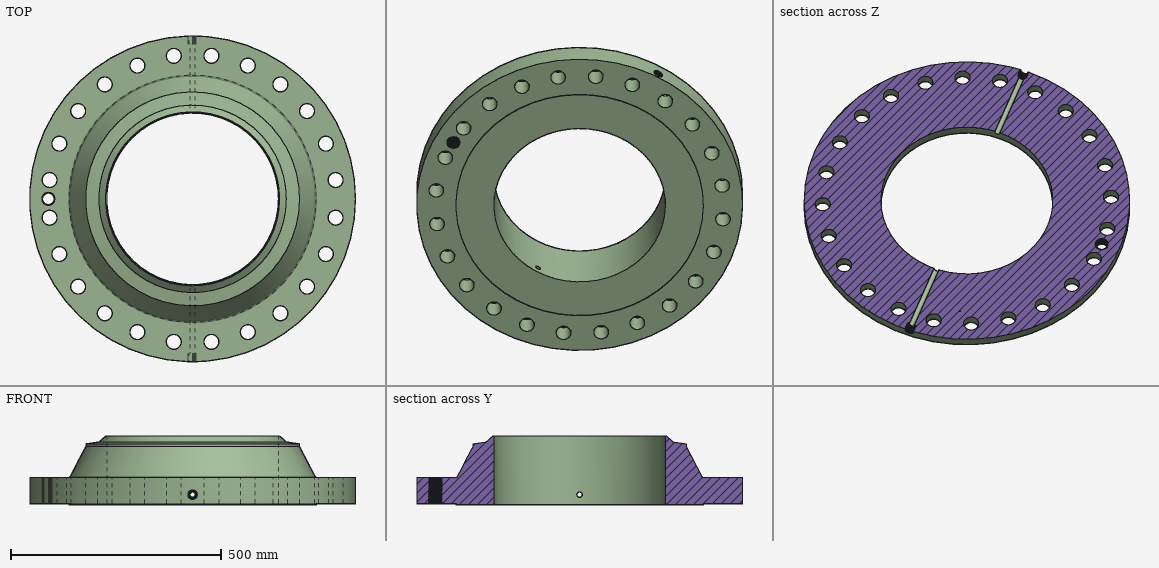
import cadquery as cq
import math

flange_diameter = 775.0
flange_top = 65.0
raised_face_diameter = 588.0
raised_face_height = 2.0

total_height = 163.5
hub_base_diameter = 585.0
hub_base_fillet = 3.0
rim_diameter = 508.0
rim_bottom = 139.0
rim_top = 145.0
bevel_bottom_diameter = 445.5
bevel_bottom = 149.5
bevel_top_diameter = 414.0
bore_diameter = 407.5

bolt_count = 24
bolt_circle_diameter = 685.5
bolt_hole_diameter = 35.0

jack_minor_diameter = 27.0
jack_major_diameter = 31.0
jack_pitch = 3.5

port_height = 24.0
port_bore_diameter = 12.5
port_minor_diameter = 18.0
port_major_diameter = 22.5
port_pitch = 1.9
port_thread_count = 10


def make_body():
    """Revolve the half section of flange, hub and bore about Z.

    The hub foot is a fillet tangent to the flange face and to the hub cone.
    """
    hub_base_radius = hub_base_diameter / 2
    cone_run = hub_base_radius - rim_diameter / 2
    cone_angle = math.atan2(rim_bottom - flange_top, cone_run)
    tangent_length = hub_base_fillet * math.tan(cone_angle / 2)
    fillet_center_radius = hub_base_radius + tangent_length
    fillet_center_height = flange_top + hub_base_fillet

    def fillet_point(angle):
        """Point of the fillet arc, turned by angle from its lowest point toward the hub."""
        return (
            fillet_center_radius - hub_base_fillet * math.sin(angle),
            fillet_center_height - hub_base_fillet * math.cos(angle),
        )

    return (
        cq.Workplane("XZ")
        .moveTo(bore_diameter / 2, 0)
        .lineTo(raised_face_diameter / 2, 0)
        .lineTo(raised_face_diameter / 2, raised_face_height)
        .lineTo(flange_diameter / 2, raised_face_height)
        .lineTo(flange_diameter / 2, flange_top)
        .lineTo(*fillet_point(0))
        .threePointArc(fillet_point(cone_angle / 2), fillet_point(cone_angle))
        .lineTo(rim_diameter / 2, rim_bottom)
        .lineTo(rim_diameter / 2, rim_top)
        .lineTo(bevel_bottom_diameter / 2, bevel_bottom)
        .lineTo(bevel_top_diameter / 2, total_height)
        .lineTo(bore_diameter / 2, total_height)
        .close()
        .revolve(360, (0, 0, 0), (0, 1, 0))
    )


def make_bolt_holes():
    """Ring of plain through holes, the first one half a pitch from +X."""
    half_pitch = 360 / bolt_count / 2
    return (
        cq.Workplane("XY")
        .polarArray(bolt_circle_diameter / 2, half_pitch, 360, bolt_count)
        .circle(bolt_hole_diameter / 2)
        .extrude(flange_top)
    )


def make_thread_cutter(minor_diameter, major_diameter, pitch, thread_count):
    """Solid along +Z from the origin whose V-shaped rings stand for a thread; each end is at full width."""
    minor_radius = minor_diameter / 2
    major_radius = major_diameter / 2
    outline = cq.Workplane("XZ").lineTo(major_radius, 0)
    for thread in range(thread_count):
        start = thread * pitch
        outline = outline.lineTo(minor_radius, start + pitch / 2).lineTo(major_radius, start + pitch)
    return outline.lineTo(0, thread_count * pitch).close().revolve(360, (0, 0, 0), (0, 1, 0))


def make_jack_hole():
    """Threaded hole through the flange plate, with a whole number of threads."""
    depth = flange_top - raised_face_height
    thread_count = round(depth / jack_pitch)
    return make_thread_cutter(
        jack_minor_diameter, jack_major_diameter, depth / thread_count, thread_count
    ).translate((-bolt_circle_diameter / 2, 0, raised_face_height))


def make_port():
    """Radial hole from the bore to the flange edge on the -Y side, threaded at its outer end."""
    edge = flange_diameter / 2
    hole = cq.Workplane("XY").circle(port_bore_diameter / 2).extrude(edge)
    thread = make_thread_cutter(port_minor_diameter, port_major_diameter, port_pitch, port_thread_count)
    return (
        hole.translate((0, 0, -edge))
        .union(thread.translate((0, 0, -edge)))
        .rotate((0, 0, 0), (1, 0, 0), -90)
        .translate((0, 0, port_height))
    )


front_port = make_port()
back_port = front_port.mirror("XZ")

result = (
    make_body()
    .cut(make_bolt_holes())
    .cut(make_jack_hole())
    .cut(front_port)
    .cut(back_port)
)